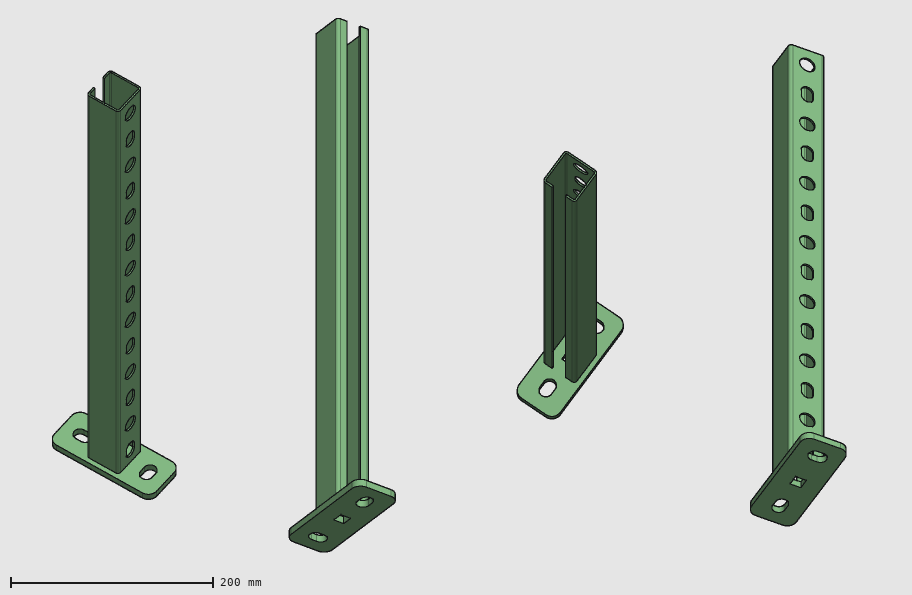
import cadquery as cq

TOTAL_HEIGHT = 568
PLATE_LENGTH = 125
PLATE_WIDTH = 50.0
PLATE_THICKNESS = 8.0
PLATE_CORNER_RADIUS = 10.0
PLATE_SLOT_LENGTH = 20.0
PLATE_SLOT_WIDTH = 13.5
LENGTHWISE_SLOT_X = -38.5
CROSSWISE_SLOT_X = 41.5
SQUARE_HOLE_SIDE = 12.0

CHANNEL_SIDE = 39.0
WALL = 2.0
BEND_RADIUS = 3.5
OPENING_WIDTH = 16.0
CHANNEL_HEIGHT = TOTAL_HEIGHT - PLATE_THICKNESS

PERFORATION_COUNT = 14
PERFORATION_PITCH = CHANNEL_HEIGHT / PERFORATION_COUNT
ROUND_HOLE_DIAMETER = 17
WALL_SLOT_LENGTH = 20.0
WALL_SLOT_WIDTH = 13.5


def make_plate():
    plate = (
        cq.Workplane("XY")
        .rect(PLATE_LENGTH, PLATE_WIDTH)
        .extrude(PLATE_THICKNESS)
        .edges("|Z")
        .fillet(PLATE_CORNER_RADIUS)
    )
    plate = plate.faces(">Z").workplane().rect(SQUARE_HOLE_SIDE, SQUARE_HOLE_SIDE).cutThruAll()
    for slot_x, angle in ((LENGTHWISE_SLOT_X, 0), (CROSSWISE_SLOT_X, 90)):
        plate = (
            plate.faces(">Z")
            .workplane(origin=(slot_x, 0, PLATE_THICKNESS))
            .slot2D(PLATE_SLOT_LENGTH, PLATE_SLOT_WIDTH, angle)
            .cutThruAll()
        )
    return plate


def rounded_square_bar(side, corner_radius):
    return (
        cq.Workplane("XY", origin=(0, 0, PLATE_THICKNESS))
        .rect(side, side)
        .extrude(CHANNEL_HEIGHT)
        .edges("|Z")
        .fillet(corner_radius)
    )


def make_channel():
    outside = rounded_square_bar(CHANNEL_SIDE, BEND_RADIUS)
    inside = rounded_square_bar(CHANNEL_SIDE - 2 * WALL, BEND_RADIUS - WALL)
    opening = (
        cq.Workplane("XY", origin=(-CHANNEL_SIDE / 2, 0, PLATE_THICKNESS))
        .rect(CHANNEL_SIDE, OPENING_WIDTH)
        .extrude(CHANNEL_HEIGHT)
    )
    return outside.cut(inside).cut(opening)


def make_perforations():
    heights = [PLATE_THICKNESS + (i + 0.5) * PERFORATION_PITCH for i in range(PERFORATION_COUNT)]
    middle_plane = cq.Workplane("YZ")
    slots = (
        middle_plane.pushPoints([(0, z) for z in heights[0::2]])
        .slot2D(WALL_SLOT_LENGTH, WALL_SLOT_WIDTH, 90)
        .extrude(CHANNEL_SIDE)
    )
    round_holes = (
        middle_plane.pushPoints([(0, z) for z in heights[1::2]])
        .circle(ROUND_HOLE_DIAMETER / 2)
        .extrude(CHANNEL_SIDE)
    )
    return slots.union(round_holes)


channel = make_channel().cut(make_perforations())
result = make_plate().union(channel)